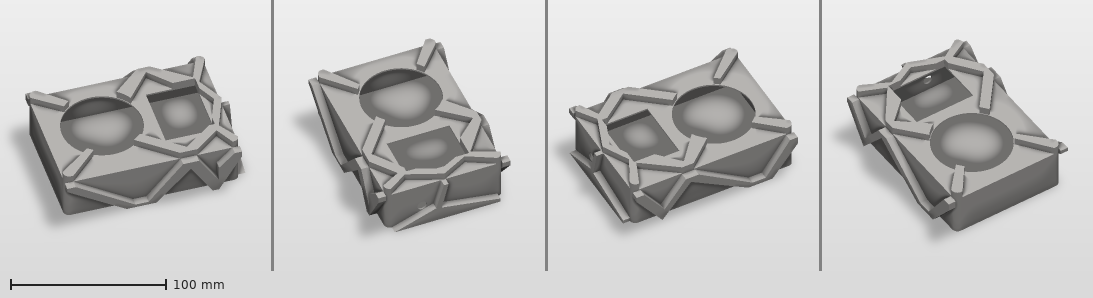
import cadquery as cq

overall_width = 92.11
overall_length = 122.71
overall_height = 35.0

rib_thickness = 5.35
back_rib_thickness = 5.0

case_width = overall_width - 2 * rib_thickness
case_length = overall_length - back_rib_thickness
case_height = overall_height - rib_thickness
corner_radius = 4.0
wall = 1.2
floor = 3.0

round_opening_radius = 27.0
round_opening_x = 38.0
round_opening_y = 38.2
rib_clearance_radius = 27.4
window_left = 19.0
window_right = 62.7
window_front = 73.5
window_back = 106.6

cable_hole_diameter = 6.6
cable_hole_x = 56.3
cable_hole_z = 11.8


def case_block(height):
    """Solid block with the rounded outline of the case."""
    return (
        cq.Workplane("XY")
        .rect(case_width, case_length, centered=False)
        .extrude(height)
        .edges("|Z")
        .fillet(corner_radius)
    )


def raised(outline):
    """Prism on the top plate, as thick as the raised ribs."""
    top_plane = cq.Workplane("XY").workplane(offset=case_height)
    return top_plane.polyline(outline).close().extrude(rib_thickness)


def top_ribs():
    """Web of ribs on the top plate, trimmed to the outline of the case."""
    web = raised(
        [
            (0, case_length),
            (4.0, case_length),
            (22.7, 108.3),
            (40.5, case_length),
            (41.5, case_length),
            (64.7, 108.8),
            (78.0, case_length),
            (case_width, case_length),
            (case_width, 112.9),
            (68.4, 105.9),
            (case_width, 89.2),
            (case_width, 77.5),
            (61.3, 52.5),
            (57.2, 58.0),
            (77.4, 83.3),
            (61.4, 104.5),
            (40.5, 112.8),
            (24.5, 104.6),
            (21.5, 93.9),
            (4.4, 78.0),
            (24.2, 61.7),
            (16.3, 54.5),
            (0, 73.2),
            (0, 81.6),
            (17.7, 105.6),
            (0, 113.0),
        ]
    )
    front_left = raised([(0, 0), (5.3, 0), (20.5, 20.4), (17.0, 24.6), (0, 5.3)])
    front_right = raised([(case_width, 0), (76.3, 0), (60.0, 21.6), (62.7, 25.1), (case_width, 5.8)])
    clearance = (
        cq.Workplane("XY")
        .center(round_opening_x, round_opening_y)
        .circle(rib_clearance_radius)
        .extrude(overall_height)
    )
    return web.union(front_left).union(front_right).cut(clearance).intersect(case_block(overall_height))


def left_rib():
    """Zigzag rib on the left wall, outlined in Y and Z."""
    top = 28.8
    low = 3.1
    outline = [
        (0, top),
        (5.7, top),
        (23.4, low),
        (33.0, low),
        (72.3, top),
        (81.6, top),
        (97.2, 8.9),
        (112.1, top),
        (case_length, top),
        (case_length, 25.0),
        (98.8, 0),
        (78.0, 24.8),
        (36.2, 0),
        (18.4, 0),
        (0, 23.2),
    ]
    return cq.Workplane("YZ").polyline(outline).close().extrude(-rib_thickness)


def right_rib():
    """Zigzag rib on the right wall, outlined in Y and Z."""
    top = case_height
    low = 2.3
    outline = [
        (0, top),
        (5.8, top),
        (45.9, low),
        (54.8, low),
        (78.0, top),
        (88.7, top),
        (102.2, 7.8),
        (102.2, 19.4),
        (112.8, top),
        (case_length, top),
        (case_length, 25.5),
        (102.2, 0),
        (98.0, 0),
        (83.3, 24.0),
        (60.0, 0),
        (40.0, 0),
        (0, 26.8),
    ]
    right_plane = cq.Workplane("YZ").workplane(offset=case_width)
    return right_plane.polyline(outline).close().extrude(rib_thickness)


def back_rib():
    """Three-pointed rib on the back wall, outlined in X and Z."""
    outline = [
        (3.8, 0),
        (3.8, 2.7),
        (44.6, 10.0),
        (39.9, case_height),
        (43.1, case_height),
        (48.5, 10.8),
        (77.4, 0),
    ]
    back_plane = cq.Workplane("XZ").workplane(offset=-case_length)
    return back_plane.polyline(outline).close().extrude(-back_rib_thickness)


def cavity():
    """Hollow inside of the case."""
    return (
        cq.Workplane("XY")
        .workplane(offset=floor)
        .moveTo(wall, wall)
        .rect(case_width - 2 * wall, case_length - 2 * wall, centered=False)
        .extrude(case_height - wall - floor)
    )


def window():
    """Rectangular opening, cut through the top plate and the ribs over it."""
    return (
        cq.Workplane("XY")
        .workplane(offset=floor)
        .moveTo(window_left, window_front)
        .rect(window_right - window_left, window_back - window_front, centered=False)
        .extrude(overall_height)
    )


def round_opening():
    """Round opening through the top plate."""
    return (
        cq.Workplane("XY")
        .workplane(offset=floor)
        .center(round_opening_x, round_opening_y)
        .circle(round_opening_radius)
        .extrude(overall_height)
    )


def cable_hole():
    """Hole through the back wall."""
    return (
        cq.Workplane("XZ")
        .workplane(offset=-case_length)
        .center(cable_hole_x, cable_hole_z)
        .circle(cable_hole_diameter / 2)
        .extrude(2 * wall)
    )


case = case_block(case_height).union(top_ribs())
case = case.cut(cavity()).cut(window()).cut(round_opening()).cut(cable_hole())
result = case.union(left_rib()).union(right_rib()).union(back_rib())